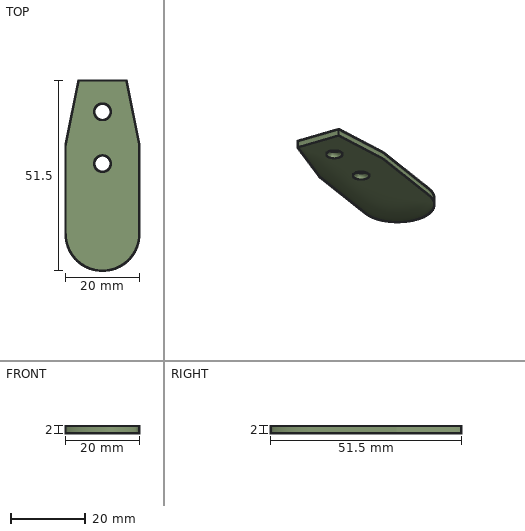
import cadquery as cq

thickness = 2.0
width = 20.0
length = 51.5
tip_width = 13.0
taper_length = 17.4
hole_diameter = 4.4
hole_spacing = 14.0
tip_to_hole = 8.5

end_radius = width / 2
half_tip = tip_width / 2
tip_y = length - end_radius
shoulder_y = tip_y - taper_length
outer_hole_y = tip_y - tip_to_hole
inner_hole_y = outer_hole_y - hole_spacing


def make_plate():
    """Flat plate with a full-round end at -Y and a tapered, blunt tip at +Y."""
    return (
        cq.Workplane("XY")
        .moveTo(-end_radius, 0)
        .threePointArc((0, -end_radius), (end_radius, 0))
        .lineTo(end_radius, shoulder_y)
        .lineTo(half_tip, tip_y)
        .lineTo(-half_tip, tip_y)
        .lineTo(-end_radius, shoulder_y)
        .close()
        .extrude(thickness)
    )


def cut_holes(plate):
    """Two through holes on the centreline."""
    return (
        plate.faces(">Z")
        .workplane(origin=(0, 0, thickness))
        .pushPoints([(0, inner_hole_y), (0, outer_hole_y)])
        .hole(hole_diameter)
    )


result = cut_holes(make_plate())